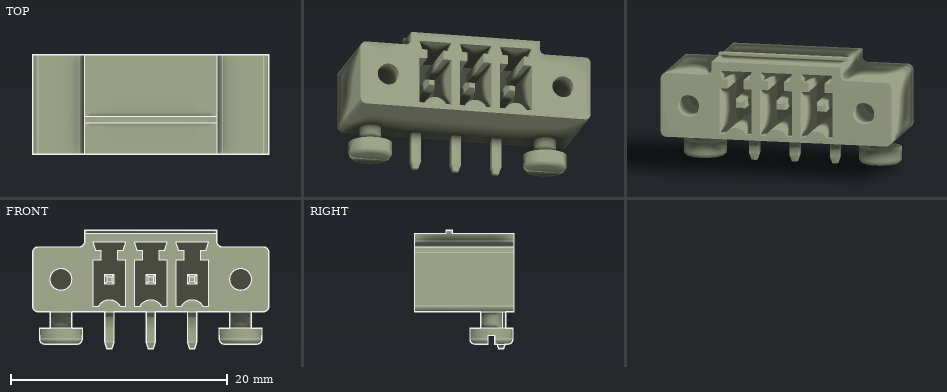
import cadquery as cq

length = 21.82
depth = 9.2
flange_height = 6.0
block_width = 12.2
block_height = 7.25
corner_radius = 0.52

rib_height = 0.3
rib_width = 0.61
rib_front = 2.9

pitch = 3.82
contact_xs = (-pitch, 0.0, pitch)
pocket_width = 3.01
pocket_depth = 7.0
pocket_floor = 0.5
shoulder_z = 4.8
dovetail_z = 5.65
pocket_top = 6.44
neck_width = 1.5
dovetail_width = 2.5
hump_width = 2.0
hump_height = 0.61

pin_width = 0.87
pin_tip_width = 0.48
pin_taper = 0.61
pin_drop = 3.4
pin_front = 1.53
pin_axis_z = flange_height / 2
pin_leg_y = depth - 1.2

screw_x = 8.3
hole_diameter = 2.0
hole_depth = 4.8
screw_y = depth - 2.1
shank_diameter = hole_diameter
head_diameter = 4.0
head_top = -1.5
head_height = 1.48
head_radius = 0.48
slot_width = 0.6
slot_depth = 0.8


def extrude_back(outline, distance):
    """Extrude an XZ outline from the front face towards +Y."""
    return outline.extrude(-distance)


def make_housing():
    half_length = length / 2
    half_block = block_width / 2
    outline = (
        cq.Workplane("XZ")
        .moveTo(-half_length, 0)
        .lineTo(half_length, 0)
        .lineTo(half_length, flange_height)
        .lineTo(half_block, flange_height)
        .lineTo(half_block, block_height)
        .lineTo(-half_block, block_height)
        .lineTo(-half_block, flange_height)
        .lineTo(-half_length, flange_height)
        .close()
    )
    housing = extrude_back(outline, depth)
    housing = housing.edges("|Y and (not >Z)").fillet(corner_radius)
    rib = cq.Workplane("XY").box(block_width, rib_width, rib_height, centered=(True, False, False))
    return housing.union(rib.translate((0, rib_front, block_height)))


def make_pocket():
    """Keyed pocket with a dovetail at the top and a round hump along its floor."""
    outline = (
        cq.Workplane("XZ")
        .moveTo(-pocket_width / 2, pocket_floor)
        .lineTo(-hump_width / 2, pocket_floor)
        .threePointArc((0, pocket_floor + hump_height), (hump_width / 2, pocket_floor))
        .lineTo(pocket_width / 2, pocket_floor)
        .lineTo(pocket_width / 2, shoulder_z)
        .lineTo(neck_width / 2, shoulder_z)
        .lineTo(neck_width / 2, dovetail_z)
        .lineTo(dovetail_width / 2, dovetail_z)
        .lineTo(pocket_width / 2, pocket_top)
        .lineTo(-pocket_width / 2, pocket_top)
        .lineTo(-dovetail_width / 2, dovetail_z)
        .lineTo(-neck_width / 2, dovetail_z)
        .lineTo(-neck_width / 2, shoulder_z)
        .lineTo(-pocket_width / 2, shoulder_z)
        .close()
    )
    return extrude_back(outline, pocket_depth)


def make_pin_arm(plane, arm_length):
    """Square bar along the plane's normal, ending in a tapered tip."""
    straight_length = arm_length - pin_taper
    bar = cq.Workplane(plane).rect(pin_width, pin_width).extrude(straight_length)
    tip = (
        cq.Workplane(plane)
        .workplane(offset=straight_length)
        .rect(pin_width, pin_width)
        .workplane(offset=pin_taper)
        .rect(pin_tip_width, pin_tip_width)
        .loft(ruled=True)
    )
    return bar.union(tip)


def make_pin():
    """Contact pin bent from the pocket down through the underside."""
    bend = (0, pin_leg_y, pin_axis_z)
    forward = cq.Plane(origin=bend, xDir=(1, 0, 0), normal=(0, -1, 0))
    downward = cq.Plane(origin=bend, xDir=(1, 0, 0), normal=(0, 0, -1))
    contact = make_pin_arm(forward, pin_leg_y - pin_front)
    leg = make_pin_arm(downward, pin_axis_z + pin_drop)
    return contact.union(leg)


def make_screw():
    """Slotted round-edged screw whose shank enters the housing underside."""
    head_bottom = head_top - head_height
    head = (
        cq.Workplane("XY")
        .workplane(offset=head_bottom)
        .circle(head_diameter / 2)
        .extrude(head_height)
        .faces("<Z")
        .edges()
        .fillet(head_radius)
    )
    slot = cq.Workplane("XY").box(head_diameter, slot_width, slot_depth, centered=(True, True, False))
    head = head.cut(slot.translate((0, 0, head_bottom)))
    shank = cq.Workplane("XY").workplane(offset=head_top).circle(shank_diameter / 2).extrude(-head_top)
    return head.union(shank)


result = make_housing()
for x in contact_xs:
    result = result.cut(make_pocket().translate((x, 0, 0)))
    result = result.union(make_pin().translate((x, 0, 0)))

for x in (-screw_x, screw_x):
    hole = extrude_back(cq.Workplane("XZ").center(x, pin_axis_z).circle(hole_diameter / 2), hole_depth)
    result = result.cut(hole)
    result = result.union(make_screw().translate((x, screw_y, 0)))